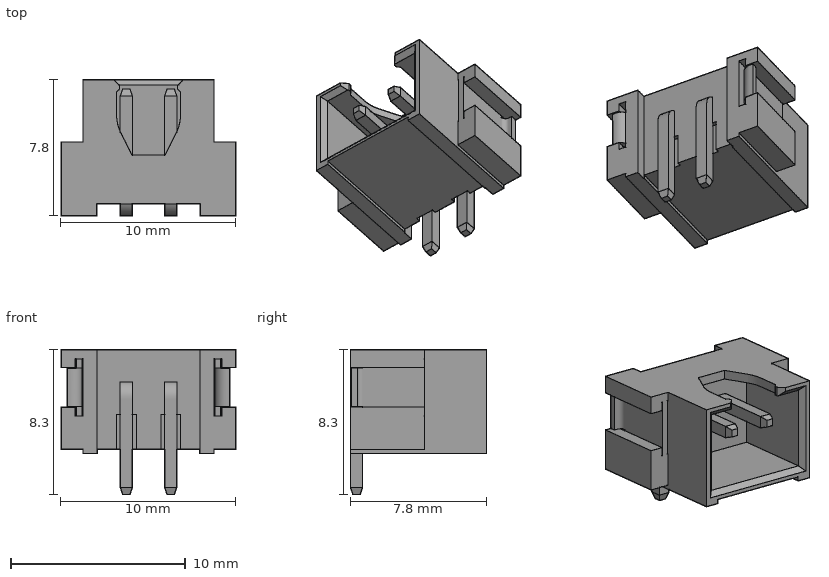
import cadquery as cq
import math

wing_half = 5.0
shroud_half = 3.76
depth = 7.8
wing_depth = 4.24
rail_height = 0.25
top_z = 5.95
rail_inner = 2.92

notch_half = 2.96
notch_depth = 0.68

cavity_half = 3.17
cavity_front_y = 2.7
cavity_wall = 0.53
mouth_chamfer = 0.3

window_mouth_half = 2.0
window_lip_half = 1.66
window_lip_length = 0.2
window_half = 1.83
window_lip_step = window_half - window_lip_half
window_arc_start_y = 5.78
window_arc_end = (1.62, 4.82)
window_end = (0.95, 3.48)

recess_low_z = 2.66
recess_high_z = 4.93
slot_margin = 0.5
slot_inner = shroud_half
slot_outer = 4.2

clip_inner = 3.79
clip_thickness = 0.36
clip_bend_radius = 0.29
clip_tip = 4.66
clip_front_y = 0.05
clip_tab_gap = 0.03

pin_pitch = 2.54
pin_size = 0.7
pin_top_z = 4.14
pin_rear_y = 7.26
pin_bottom_z = -2.35
pin_bend_radius = 0.99
pin_taper_length = 0.41
pin_tip_size = 0.42

groove_width = 1.14
groove_depth = 0.25
groove_top_z = 2.25


def box(x0, x1, y0, y1, z0, z1):
    """Box between two opposite corners."""
    return cq.Workplane("XY").box(x1 - x0, y1 - y0, z1 - z0, centered=False).translate((x0, y0, z0))


def both_sides(right_half):
    """The +X solid together with its mirror image across X = 0."""
    return right_half.union(right_half.mirror("YZ"))


def housing_block():
    wings = box(-wing_half, wing_half, 0, wing_depth, rail_height, top_z)
    shroud = box(-shroud_half, shroud_half, 0, depth, rail_height, top_z)
    rails = both_sides(box(rail_inner, shroud_half, 0, depth, 0, rail_height))
    notch = box(-notch_half, notch_half, 0, notch_depth, 0, top_z)
    return wings.union(shroud).union(rails).cut(notch)


def plug_cavity():
    """Rectangular cavity that flares out at its rear mouth."""
    width = 2 * cavity_half
    floor_z = rail_height + cavity_wall
    ceiling_z = top_z - cavity_wall
    height = ceiling_z - floor_z
    chamber = box(-cavity_half, cavity_half, cavity_front_y, depth, floor_z, ceiling_z)
    flare = (
        cq.Workplane("XZ", origin=(0, depth, (floor_z + ceiling_z) / 2))
        .rect(width + 2 * mouth_chamfer, height + 2 * mouth_chamfer)
        .workplane(offset=mouth_chamfer)
        .rect(width, height)
        .loft(ruled=True)
    )
    return chamber.union(flare)


def window():
    """Mouth chamfer, retaining lip, straight side, then a curve into a taper."""
    lip_rear_y = depth - (window_mouth_half - window_lip_half)
    lip_front_y = lip_rear_y - window_lip_length
    half = (
        cq.Workplane("XY", origin=(0, 0, top_z - cavity_wall))
        .moveTo(0, depth)
        .lineTo(window_mouth_half, depth)
        .lineTo(window_lip_half, lip_rear_y)
        .lineTo(window_lip_half, lip_front_y)
        .lineTo(window_half, lip_front_y - window_lip_step)
        .lineTo(window_half, window_arc_start_y)
        .tangentArcPoint(window_arc_end, relative=False)
        .lineTo(*window_end)
        .lineTo(0, window_end[1])
        .close()
        .extrude(cavity_wall)
    )
    return both_sides(half)


def clip_opening():
    """Slot through the +X wing, opened to the side by the recess."""
    slot = box(slot_inner, slot_outer, 0, wing_depth, recess_low_z - slot_margin, recess_high_z + slot_margin)
    recess = box(slot_inner, wing_half, 0, wing_depth, recess_low_z, recess_high_z)
    return slot.union(recess)


def clip():
    """Clip of the +X wing; the plate spans the slot height, the tab clears the recess."""
    outer_radius = clip_bend_radius + clip_thickness
    clip_outer = clip_inner + clip_thickness
    bend_x = clip_inner + outer_radius
    bend_y = clip_front_y + outer_radius
    diagonal = math.sqrt(0.5)
    tab_low_z = recess_low_z + clip_tab_gap
    tab_high_z = recess_high_z - clip_tab_gap
    plate = box(
        clip_inner, clip_outer, bend_y, wing_depth, recess_low_z - slot_margin, recess_high_z + slot_margin
    )
    tab = (
        cq.Workplane("XY", origin=(0, 0, tab_low_z))
        .moveTo(clip_inner, bend_y)
        .threePointArc(
            (bend_x - outer_radius * diagonal, bend_y - outer_radius * diagonal), (bend_x, clip_front_y)
        )
        .lineTo(clip_tip, clip_front_y)
        .lineTo(clip_tip, clip_front_y + clip_thickness)
        .lineTo(bend_x, clip_front_y + clip_thickness)
        .threePointArc(
            (bend_x - clip_bend_radius * diagonal, bend_y - clip_bend_radius * diagonal), (clip_outer, bend_y)
        )
        .close()
        .extrude(tab_high_z - tab_low_z)
    )
    return plate.union(tab)


def pin_tip(workplane):
    """Square tip tapering along the workplane normal."""
    return (
        workplane.rect(pin_size, pin_size)
        .workplane(offset=pin_taper_length)
        .rect(pin_tip_size, pin_tip_size)
        .loft(ruled=True)
    )


def pin(x):
    taper_y = pin_rear_y - pin_taper_length
    taper_z = pin_bottom_z + pin_taper_length
    axis_z = pin_top_z - pin_size / 2
    axis_y = pin_size / 2
    level = box(x - pin_size / 2, x + pin_size / 2, 0, taper_y, pin_top_z - pin_size, pin_top_z)
    upright = box(x - pin_size / 2, x + pin_size / 2, 0, pin_size, taper_z, pin_top_z)
    bent = level.union(upright)
    bent = bent.edges(cq.selectors.NearestToPointSelector((x, 0, pin_top_z))).fillet(pin_bend_radius)
    inner_corner = cq.selectors.NearestToPointSelector((x, pin_size, pin_top_z - pin_size))
    bent = bent.edges(inner_corner).fillet(pin_bend_radius - pin_size)
    rear_tip = pin_tip(cq.Workplane(cq.Plane((x, taper_y, axis_z), (1, 0, 0), (0, 1, 0))))
    bottom_tip = pin_tip(cq.Workplane(cq.Plane((x, axis_y, taper_z), (1, 0, 0), (0, 0, -1))))
    return bent.union(rear_tip).union(bottom_tip)


def pin_groove(x):
    return box(
        x - groove_width / 2, x + groove_width / 2, notch_depth, notch_depth + groove_depth, 0, groove_top_z
    )


result = housing_block().cut(plug_cavity()).cut(window())
result = result.cut(both_sides(clip_opening())).union(both_sides(clip()))
for pin_x in (-pin_pitch / 2, pin_pitch / 2):
    result = result.cut(pin_groove(pin_x)).union(pin(pin_x))